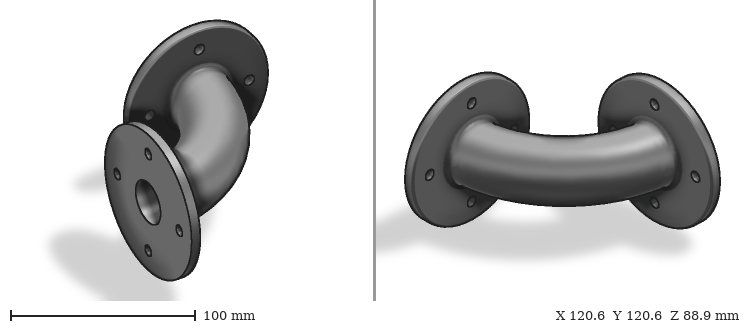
import cadquery as cq

overall_length = 120.6
flange_diameter = 88.9
flange_thickness = 6.3
rim_fillet = 1.5

pipe_diameter = 38.0
bore_diameter = 25.6
neck_fillet = 3.0

bolt_hole_diameter = 6.4
bolt_circle_diameter = 63.5
bolt_count = 4

bend_radius = overall_length - flange_diameter / 2

front_plane = cq.Plane(origin=(bend_radius, 0, 0), xDir=(1, 0, 0), normal=(0, 1, 0))
side_plane = cq.Plane(origin=(0, bend_radius, 0), xDir=(0, 1, 0), normal=(1, 0, 0))
flange_planes = (front_plane, side_plane)


def quarter_bend(diameter):
    """Solid round bar swept through 90 degrees about the Z axis."""
    return (
        cq.Workplane("XZ")
        .center(bend_radius, 0)
        .circle(diameter / 2)
        .revolve(90, (-bend_radius, 0, 0), (-bend_radius, 1, 0))
    )


def flange(plane):
    """Disc with its inner rim rounded."""
    disc = cq.Workplane(plane).circle(flange_diameter / 2).extrude(flange_thickness)
    return disc.faces(cq.selectors.DirectionMinMaxSelector(plane.zDir, True)).edges().fillet(rim_fillet)


def bolt_holes(plane):
    """Cutters for the bolt holes, passing through one flange only."""
    return (
        cq.Workplane(plane)
        .polarArray(bolt_circle_diameter / 2, 0, 360, bolt_count)
        .circle(bolt_hole_diameter / 2)
        .extrude(flange_thickness)
    )


def neck_edges(body):
    """Joint curves between the pipe and the inner flange faces."""
    reach = bolt_circle_diameter / 2
    margin = 0.1
    low = flange_thickness - margin
    high = flange_thickness + margin
    front_box = cq.selectors.BoxSelector(
        (bend_radius - reach, low, -reach), (bend_radius + reach, high, reach), boundingbox=True
    )
    side_box = cq.selectors.BoxSelector(
        (low, bend_radius - reach, -reach), (high, bend_radius + reach, reach), boundingbox=True
    )
    return body.edges(front_box + side_box)


body = quarter_bend(pipe_diameter)
for plane in flange_planes:
    body = body.union(flange(plane))
body = neck_edges(body).fillet(neck_fillet)

body = body.cut(quarter_bend(bore_diameter))
for plane in flange_planes:
    body = body.cut(bolt_holes(plane))

result = body